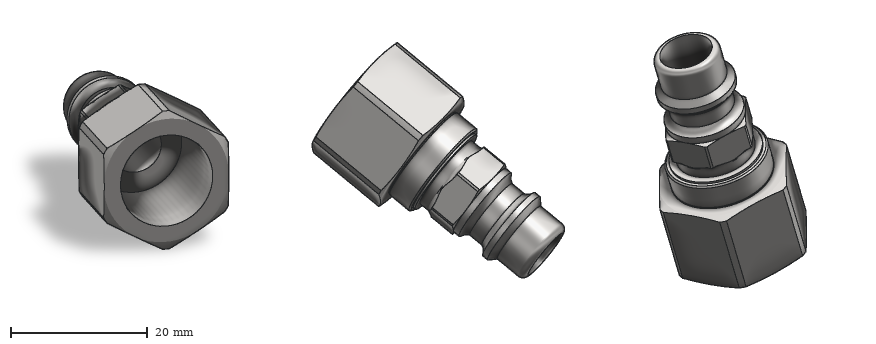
import cadquery as cq
import math

length = 36.5
bore_diameter = 7.85

nose_diameter = 10.0
nose_round = 1.0

shoulder_diameter = 12.0
groove_diameter = 9.75
front_cone_start = 5.0
front_cone_end = 6.0
groove_flank_start = 6.95
groove_floor_start = 8.03
groove_floor_end = 10.33
groove_flank_end = 11.42
flank_sag = 0.1

plug_hex_start = 12.5
plug_hex_corner_end = 16.7
plug_hex_flats = shoulder_diameter
plug_hex_corners = 13.65
plug_hex_runout_x = 17.12
plug_hex_runout_diameter = 12.08

neck_diameter = 11.9
neck_start = 17.37
flange_diameter = 14.05
flange_start = 18.95
flange_end = 20.8

collar_start = 19.27
collar_diameter = 15.5
collar_chamfer = 0.25
relief_diameter = 15.33
relief_start = 23.2
socket_hex_start = 23.45
socket_hex_flats = 19.0
socket_hex_corners = 21.4

hex_chamfer_angle = 15.0


def cylinder(diameter, start, end):
    """Solid cylinder along X between two stations."""
    return cq.Workplane("YZ").workplane(offset=start).circle(diameter / 2).extrude(end - start)


def hexagon_bar(flats, start, end):
    """Sharp hexagonal bar along X with corners pointing up and down."""
    return (
        cq.Workplane("YZ")
        .workplane(offset=start)
        .transformed(rotate=(0, 0, 90))
        .polygon(6, flats / math.cos(math.radians(30)))
        .extrude(end - start)
    )


def turn(profile):
    """Close a half profile that starts and ends on the X axis and revolve it about that axis."""
    return profile.close().revolve(360, (0, 0, 0), (1, 0, 0))


def chamfer_depth(flats, corners):
    """Axial depth of a hex end chamfer that starts at the across-flats circle."""
    return (corners - flats) / 2 * math.tan(math.radians(hex_chamfer_angle))


def make_plug_hex():
    """Spanner hex chamfered in front, with a hollow runout to the neck behind."""
    front_depth = chamfer_depth(plug_hex_flats, plug_hex_corners)
    envelope = turn(
        cq.Workplane("XY")
        .moveTo(plug_hex_start, 0)
        .lineTo(plug_hex_start, plug_hex_flats / 2)
        .lineTo(plug_hex_start + front_depth, plug_hex_corners / 2)
        .lineTo(plug_hex_corner_end, plug_hex_corners / 2)
        .threePointArc((plug_hex_runout_x, plug_hex_runout_diameter / 2), (neck_start, neck_diameter / 2))
        .lineTo(neck_start, 0)
    )
    return hexagon_bar(plug_hex_flats, plug_hex_start, neck_start).intersect(envelope)


def make_socket_hex():
    """Large hex with turned corners and a chamfer at both ends."""
    depth = chamfer_depth(socket_hex_flats, socket_hex_corners)
    envelope = turn(
        cq.Workplane("XY")
        .moveTo(socket_hex_start, 0)
        .lineTo(socket_hex_start, socket_hex_flats / 2)
        .lineTo(socket_hex_start + depth, socket_hex_corners / 2)
        .lineTo(length - depth, socket_hex_corners / 2)
        .lineTo(length, socket_hex_flats / 2)
        .lineTo(length, 0)
    )
    return hexagon_bar(socket_hex_flats, socket_hex_start, length).intersect(envelope)


def make_plug():
    """Hollow plug with nose, retaining groove, spanner hex, neck and flange."""
    nose_radius = nose_diameter / 2
    shoulder_radius = shoulder_diameter / 2
    groove_radius = groove_diameter / 2
    neck_radius = neck_diameter / 2
    flange_radius = flange_diameter / 2
    arc_offset = nose_round * (1 - math.sqrt(0.5))
    flank_radius = (shoulder_radius + groove_radius) / 2 - flank_sag
    front_flank_middle = (groove_flank_start + groove_floor_start) / 2 - flank_sag
    rear_flank_middle = (groove_floor_end + groove_flank_end) / 2 + flank_sag

    body = turn(
        cq.Workplane("XY")
        .lineTo(0, nose_radius - nose_round)
        .threePointArc((arc_offset, nose_radius - arc_offset), (nose_round, nose_radius))
        .lineTo(front_cone_start, nose_radius)
        .lineTo(front_cone_end, shoulder_radius)
        .lineTo(groove_flank_start, shoulder_radius)
        .threePointArc((front_flank_middle, flank_radius), (groove_floor_start, groove_radius))
        .lineTo(groove_floor_end, groove_radius)
        .threePointArc((rear_flank_middle, flank_radius), (groove_flank_end, shoulder_radius))
        .lineTo(plug_hex_start, shoulder_radius)
        .lineTo(plug_hex_start, neck_radius)
        .lineTo(flange_start, neck_radius)
        .lineTo(flange_start, flange_radius)
        .lineTo(flange_end, flange_radius)
        .lineTo(flange_end, 0)
    )
    return body.union(make_plug_hex()).cut(cylinder(bore_diameter, 0, flange_end))


def make_socket():
    """Hex socket whose collar fits around the plug flange, with one plain through hole."""
    collar = cylinder(collar_diameter, collar_start, relief_start).faces("<X").chamfer(collar_chamfer)
    relief = cylinder(relief_diameter, relief_start, socket_hex_start)
    through_hole = cylinder(flange_diameter, collar_start, length)
    return collar.union(relief).union(make_socket_hex()).cut(through_hole)


plug = make_plug()
socket = make_socket()

result = cq.Compound.makeCompound([plug.val(), socket.val()])